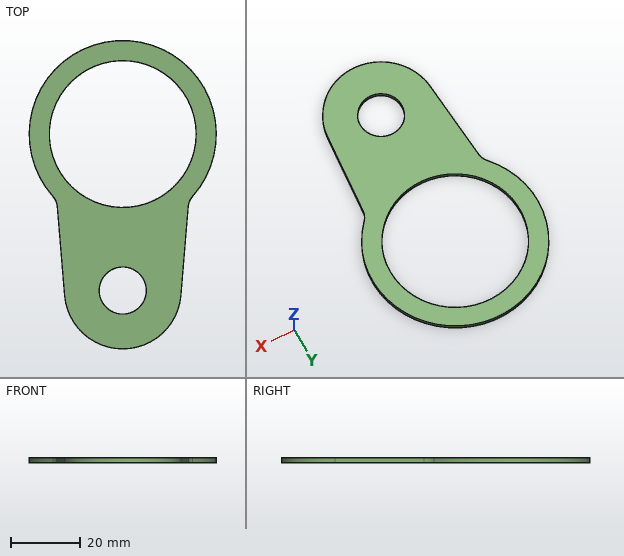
import cadquery as cq
import math

thickness = 1.5
overall_length = 88.9
ring_outer_diameter = 54.0
ring_bore_diameter = 42.2
centre_distance = 45.1
lug_hole_diameter = 13.5
flank_angle = math.radians(4.7)
blend_radius = 5.0

ring_radius = ring_outer_diameter / 2
lug_radius = overall_length - ring_radius - centre_distance

lug_y = -centre_distance

tangent_x = lug_radius * math.cos(flank_angle)
tangent_y = lug_y - lug_radius * math.sin(flank_angle)

root_half_width = tangent_x - tangent_y * math.tan(flank_angle)


def make_lug():
    """Tapered tongue with a rounded end, reaching into the ring."""
    return (
        cq.Workplane("XY")
        .moveTo(-root_half_width, 0)
        .lineTo(-tangent_x, tangent_y)
        .threePointArc((0, lug_y - lug_radius), (tangent_x, tangent_y))
        .lineTo(root_half_width, 0)
        .close()
        .extrude(thickness)
    )


def make_hole(diameter, y):
    """Cutter for a through hole on the part's centre line."""
    return cq.Workplane("XY").center(0, y).circle(diameter / 2).extrude(thickness)


disc = cq.Workplane("XY").circle(ring_radius).extrude(thickness)
plate = disc.union(make_lug())

corner_edges = cq.selectors.BoxSelector(
    (-ring_radius, -ring_radius, 0),
    (ring_radius, -ring_radius / 2, thickness),
)
plate = plate.edges("|Z").edges(corner_edges).fillet(blend_radius)

result = (
    plate
    .cut(make_hole(ring_bore_diameter, 0))
    .cut(make_hole(lug_hole_diameter, lug_y))
)